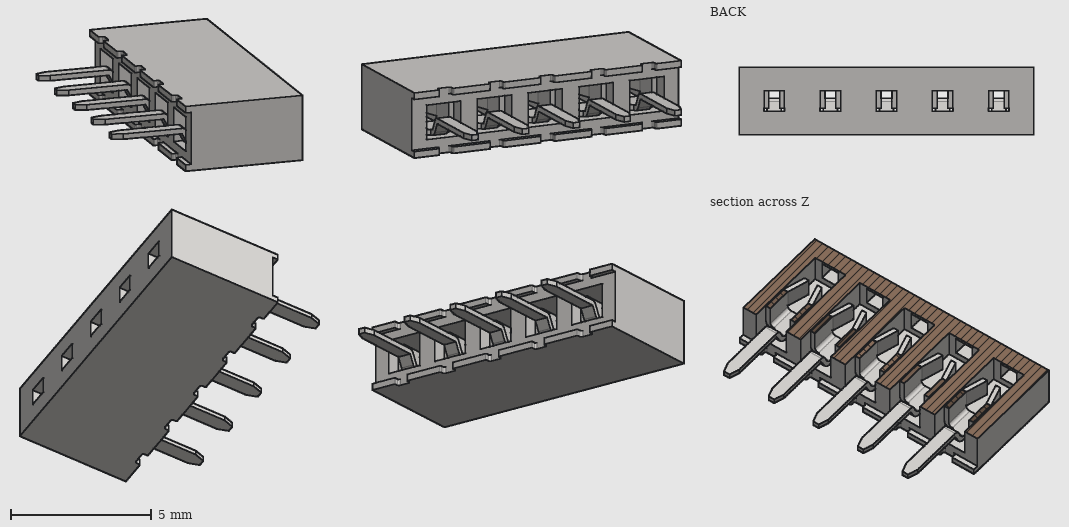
import cadquery as cq
import math


contact_count = 5
housing_length = 10.5
end_margin = 0.25
pitch = (housing_length - 2 * end_margin) / contact_count
contact_places = [(i - (contact_count - 1) / 2) * pitch for i in range(contact_count)]

housing_height = 2.4
overall_depth = 6.8
standoff = 0.21
body_depth = 4.2
lip_height = 0.24

notch_width = 0.52
notch_floor_radius = 0.07
notch_mouth_radius = 0.03

cavity_width = 1.34
cavity_height = 1.27
cavity_depth = 3.46
cavity_floor = -cavity_height / 2
mating_hole = 0.72

sheet = 0.2
bend_inside = 0.15
bend_outside = bend_inside + sheet
side_gap = 0.02
base_width = cavity_width - 2 * side_gap
base_front = 0.55
base_length = 1.03
base_back = base_front + base_length
wall_corner_radius = 0.1

arm_top = 0.46
arm_bottom = -0.26
arm_length = 0.89
arm_tip_gap = 0.38

pin_width = 0.51
pin_end = body_depth - overall_depth
pin_taper_length = 0.4
pin_tip_width = 0.25
rise_angle = math.radians(62)


def make_lip_notch(x):
    """Cutter for one notch column: rounded floor corners and rounded mouth corners."""
    half_wall = notch_width / 2
    half_floor = half_wall - notch_floor_radius
    half_mouth = half_wall + notch_mouth_radius
    mouth_start = notch_mouth_radius - standoff
    return (
        cq.Workplane("XY", origin=(x, 0, -housing_height / 2))
        .moveTo(-half_mouth, -standoff)
        .radiusArc((-half_wall, mouth_start), -notch_mouth_radius)
        .lineTo(-half_wall, -notch_floor_radius)
        .radiusArc((-half_floor, 0), notch_floor_radius)
        .lineTo(half_floor, 0)
        .radiusArc((half_wall, -notch_floor_radius), notch_floor_radius)
        .lineTo(half_wall, mouth_start)
        .radiusArc((half_mouth, -standoff), -notch_mouth_radius)
        .close()
        .extrude(housing_height)
    )


def make_housing():
    body = cq.Workplane("XY").box(housing_length, body_depth, housing_height, centered=(True, False, True))

    lip_offset = (housing_height - lip_height) / 2
    for z in (-lip_offset, lip_offset):
        lip = cq.Workplane("XY").box(housing_length, standoff, lip_height)
        body = body.union(lip.translate((0, -standoff / 2, z)))

    for x in contact_places:
        cavity = cq.Workplane("XY").box(
            cavity_width, cavity_depth, cavity_height, centered=(True, False, True)
        )
        hole = cq.Workplane("XY").box(mating_hole, body_depth, mating_hole, centered=(True, False, True))
        body = body.cut(cavity.union(hole).translate((x, 0, 0)))
        body = body.cut(make_lip_notch(x))
    return body


def make_base():
    """U-shaped channel with bent lower corners and rounded front upper corners."""
    outer = (
        cq.Workplane("XY", origin=(0, base_front, 0))
        .box(base_width, base_length, cavity_height, centered=(True, False, True))
        .edges("|Y and <Z")
        .fillet(bend_outside)
        .faces("<Y")
        .edges(">Z")
        .fillet(wall_corner_radius)
    )
    inner = (
        cq.Workplane("XY", origin=(0, base_front, cavity_floor + sheet))
        .box(base_width - 2 * sheet, base_length, cavity_height, centered=(True, False, False))
        .edges("|Y and <Z")
        .fillet(bend_inside)
    )
    return outer.cut(inner)


def make_arm(side):
    """Flat spring arm leaning from one channel wall (side -1 or +1) towards the middle."""
    wall_outside = side * base_width / 2
    wall_inside = side * (base_width / 2 - sheet)
    tip_inside = side * arm_tip_gap / 2
    tip_outside = tip_inside + side * sheet
    tip_y = base_back + arm_length
    return (
        cq.Workplane("XY", origin=(0, 0, arm_bottom))
        .moveTo(wall_outside, base_back)
        .lineTo(wall_inside, base_back)
        .lineTo(tip_inside, tip_y)
        .lineTo(tip_outside, tip_y)
        .close()
        .extrude(arm_top - arm_bottom)
    )


def make_tongue():
    """Strip bent up from the channel floor, then bent level again as the straight pin."""
    pin_bottom = -sheet / 2
    pin_top = sheet / 2

    slope_bottom = cavity_floor + bend_outside * (1 - math.cos(rise_angle))
    slope_run = (pin_bottom - slope_bottom) / math.tan(rise_angle)
    bend_y = slope_run + bend_outside * math.sin(rise_angle)
    bend_z = cavity_floor + bend_outside

    def lower_bend(radius, angle):
        return (bend_y - radius * math.sin(angle), bend_z - radius * math.cos(angle))

    def upper_bend(angle):
        return (sheet * math.sin(angle), pin_bottom + sheet * math.cos(angle))

    strip = (
        cq.Workplane("YZ", origin=(-pin_width / 2, 0, 0))
        .moveTo(pin_end, pin_bottom)
        .lineTo(0, pin_bottom)
        .lineTo(*lower_bend(bend_outside, rise_angle))
        .threePointArc(lower_bend(bend_outside, rise_angle / 2), lower_bend(bend_outside, 0))
        .lineTo(base_back, cavity_floor)
        .lineTo(base_back, cavity_floor + sheet)
        .lineTo(*lower_bend(bend_inside, 0))
        .threePointArc(lower_bend(bend_inside, rise_angle / 2), lower_bend(bend_inside, rise_angle))
        .lineTo(*upper_bend(rise_angle))
        .threePointArc(upper_bend(rise_angle / 2), (0, pin_top))
        .lineTo(pin_end, pin_top)
        .close()
        .extrude(pin_width)
    )

    taper_start = pin_end + pin_taper_length
    pointed = (
        cq.Workplane("XY", origin=(0, 0, cavity_floor))
        .moveTo(-pin_tip_width / 2, pin_end)
        .lineTo(pin_tip_width / 2, pin_end)
        .lineTo(pin_width / 2, taper_start)
        .lineTo(pin_width / 2, base_back)
        .lineTo(-pin_width / 2, base_back)
        .lineTo(-pin_width / 2, taper_start)
        .close()
        .extrude(cavity_height)
    )
    return strip.intersect(pointed)


def make_contact(x):
    contact = make_base().union(make_tongue())
    for side in (-1, 1):
        contact = contact.union(make_arm(side))
    return contact.translate((x, 0, 0))


housing = make_housing()
contacts = [make_contact(x) for x in contact_places]

result = cq.Compound.makeCompound(
    [housing.solids().val(), *[contact.solids().val() for contact in contacts]]
)